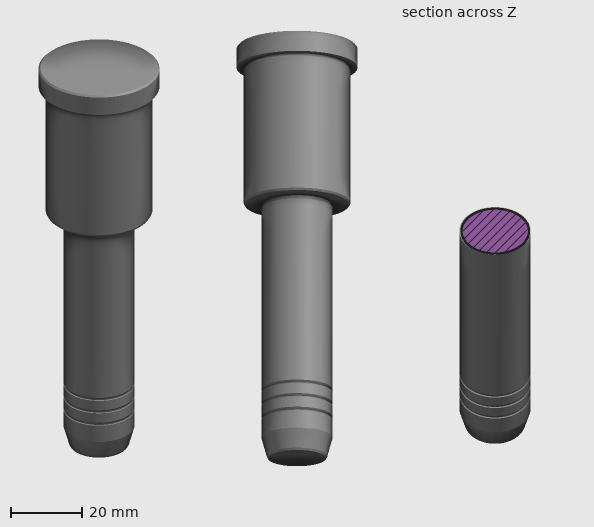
import cadquery as cq

total_length = 120.0
head_diameter = 34.0
head_height = 6.0
body_diameter = 30.0
body_end_depth = 46.0
shank_diameter = 20.0

head_chamfer = 0.5
body_chamfer_height = 0.6
body_chamfer_inset = 0.4

head_relief_height = 1.0
body_relief_height = 1.1
head_relief_neck_height = 0.4
relief_depth = 0.5

groove_count = 3
groove_pitch = 4.0
groove_width = 1.0
groove_depth = 0.5
groove_floor_height = 0.4
lowest_groove_bottom = 11.2

tip_height = 6.0
tip_diameter = 17.0
tip_chamfer_height = 0.6
tip_chamfer_inset = 0.4

head_radius = head_diameter / 2
body_radius = body_diameter / 2
shank_radius = shank_diameter / 2
tip_radius = tip_diameter / 2
head_bottom = total_length - head_height
body_bottom = total_length - body_end_depth


def relief_points(radius, shoulder_z, height, neck_height):
    """Profile points, from bottom to top, of the relief below a shoulder."""
    neck_radius = radius - relief_depth
    return [
        (radius, shoulder_z - height),
        (neck_radius, shoulder_z - neck_height),
        (neck_radius, shoulder_z),
    ]


def groove_points(bottom):
    """Profile points, from bottom to top, of one shank groove."""
    floor_radius = shank_radius - groove_depth
    return [
        (shank_radius, bottom),
        (floor_radius, bottom),
        (floor_radius, bottom + groove_floor_height),
        (shank_radius, bottom + groove_width),
    ]


tip = [
    (0, 0),
    (tip_radius - tip_chamfer_inset, 0),
    (tip_radius, tip_chamfer_height),
    (shank_radius, tip_height),
]

shank = []
for index in range(groove_count):
    shank += groove_points(lowest_groove_bottom + index * groove_pitch)
shank += relief_points(shank_radius, body_bottom, body_relief_height, body_relief_height)

body = [
    (body_radius - body_chamfer_inset, body_bottom),
    (body_radius, body_bottom + body_chamfer_height),
]
body += relief_points(body_radius, head_bottom, head_relief_height, head_relief_neck_height)

head = [
    (head_radius, head_bottom),
    (head_radius, total_length - head_chamfer),
    (head_radius - head_chamfer, total_length),
    (0, total_length),
]

result = (
    cq.Workplane("XZ")
    .polyline(tip + shank + body + head)
    .close()
    .revolve(360, (0, 0, 0), (0, 1, 0))
)